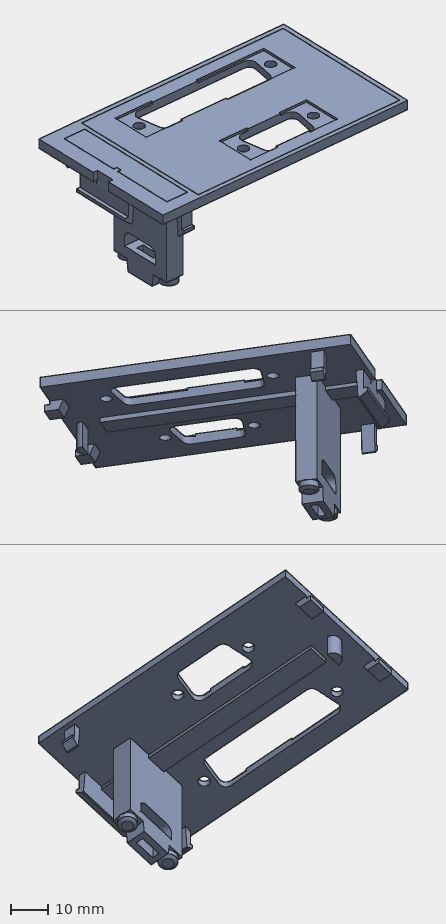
import math

import cadquery as cq


plate_width = 50.7
plate_length = 87.5
plate_thickness = 3.0

label_depth = 0.1
rim = 1.5
main_label_front = 14.0
main_label_rear = plate_length - rim
strip_label_width = 42.0
strip_label_front = 5.3
strip_label_rear = 12.6
label_tab_width = 1.65
label_tab_length = 1.2

connector_x = 13.5
pad_width = 12.7
pad_depth = 0.8
pad_beyond_screw = 3.05
screw_hole_diameter = 3.3
opening_width = 11.5
opening_slant = math.radians(10)
opening_corner_radius = 2.2
long_connector_y = 49.0
long_screw_spacing = 47.0
long_opening_length = 43.0
long_front_pad_length = 12.9
long_rear_pad_length = 24.0
short_connector_y = 51.7
short_screw_spacing = 25.0
short_opening_length = 21.1
short_pad_length = 9.7

snap_drop = 8.2
snap_root_thickness = 2.1
snap_tip_thickness = 1.5
snap_barb_top = 5.5
snap_barb_lip = 1.0
snap_nose = 0.5
front_snap_width = 19.8
front_snap_setback = 1.2
front_barb_reach = front_snap_setback
side_snap_length = 3.7
side_snap_setback = 1.35
side_barb_reach = 0.9
side_snap_y = 9.8

notch_width = 6.2
notch_depth = 1.5
notch_ramp_drop = 1.0

leg_width = 21.5
leg_thickness = 6.0
leg_front = 14.0
overall_height = 38.4
leg_drop = 31.4
tongue_drop = overall_height - plate_thickness
tongue_root_width = 10.8
tongue_tip_width = 9.9
window_width = 12.7
window_height = 5.0
window_sill_drop = 27.9
window_corner_radius = 2.3
sill_slot_width = 6.8
sill_slot_length = 2.2

foot_x = 8.4
foot_diameter = 5.4
foot_height = 1.75
foot_tip_diameter = 3.3
foot_tip_height = 0.65

hook_x = 14.1
hook_width = 5.2
hook_drop = 2.9
hook_reach = 1.5
hook_gap = 1.0
hook_root_inset = 3.95
hook_tip_inset = 2.5
post_radius = 2.35
post_inset = 4.85
post_drop = 7.6

rib_width = notch_width
rear_rib_end = plate_length - 10.0
rear_rib_drop = 1.4
front_rib_drop = 1.1

leg_y = leg_front + leg_thickness / 2


def block(x_size, y_from, y_to, z_from, z_to, x_centre=0.0):
    """Rectangular block centred on x_centre."""
    base = cq.Workplane("XY").box(x_size, y_to - y_from, z_to - z_from, centered=(True, False, False))
    return base.translate((x_centre, y_from, z_from))


def make_plate():
    plate = block(plate_width, 0, plate_length, 0, plate_thickness)
    floor = plate_thickness - label_depth
    main_label = block(plate_width - 2 * rim, main_label_front, main_label_rear, floor, plate_thickness)
    strip_label = block(strip_label_width, strip_label_front, strip_label_rear, floor, plate_thickness)
    tab_rear = strip_label_front + label_tab_length
    label_tab = block(label_tab_width, strip_label_front, tab_rear, floor, plate_thickness)
    return plate.cut(main_label).cut(strip_label.cut(label_tab))


def cut_connector(plate, x, y, screw_spacing, opening_length, front_pad_length, rear_pad_length):
    """Cut a D-shaped opening, wide toward -X, with its end pads and screw holes."""
    half_wide = opening_length / 2
    half_narrow = half_wide - opening_width * math.tan(opening_slant)
    half_width = opening_width / 2
    opening = (
        cq.Workplane("XY")
        .polyline([
            (-half_width, -half_wide),
            (half_width, -half_narrow),
            (half_width, half_narrow),
            (-half_width, half_wide),
        ])
        .close()
        .extrude(plate_thickness)
        .edges("|Z")
        .fillet(opening_corner_radius)
        .translate((x, y, 0))
    )
    pad_floor = plate_thickness - pad_depth
    front_end = y - screw_spacing / 2 - pad_beyond_screw
    rear_end = y + screw_spacing / 2 + pad_beyond_screw
    front_pad = block(pad_width, front_end, front_end + front_pad_length, pad_floor, plate_thickness, x)
    rear_pad = block(pad_width, rear_end - rear_pad_length, rear_end, pad_floor, plate_thickness, x)
    holes = (
        cq.Workplane("XY")
        .pushPoints([(x, y - screw_spacing / 2), (x, y + screw_spacing / 2)])
        .circle(screw_hole_diameter / 2)
        .extrude(plate_thickness)
    )
    return plate.cut(opening).cut(front_pad).cut(rear_pad).cut(holes)


def make_snap(width, barb_reach):
    """Snap arm hanging below Z = 0, with its outer face at Y = 0 and its barb toward -Y."""
    profile = [
        (0, 0),
        (0, -snap_barb_top),
        (-barb_reach, -snap_barb_top),
        (-barb_reach, -snap_barb_top - snap_barb_lip),
        (snap_tip_thickness - snap_nose, -snap_drop),
        (snap_tip_thickness, -snap_drop),
        (snap_root_thickness, 0),
    ]
    return cq.Workplane("YZ").polyline(profile).close().extrude(width / 2, both=True)


def make_side_snap(side):
    outer_face_x = plate_width / 2 - side_snap_setback
    turned = make_snap(side_snap_length, side_barb_reach).rotate((0, 0, 0), (0, 0, 1), side * 90)
    return turned.translate((side * outer_face_x, side_snap_y, 0))


def make_notch():
    """Front edge notch whose rear wall ramps forward to the snap's outer face below the plate."""
    profile = [
        (0, plate_thickness),
        (notch_depth, plate_thickness),
        (notch_depth, 0),
        (front_snap_setback, -notch_ramp_drop),
        (0, -notch_ramp_drop),
    ]
    return cq.Workplane("YZ").polyline(profile).close().extrude(notch_width / 2, both=True)


def make_leg():
    leg = block(leg_width, leg_front, leg_front + leg_thickness, -leg_drop, 0)
    tongue = (
        cq.Workplane("XZ")
        .polyline([
            (-tongue_root_width / 2, -leg_drop),
            (tongue_root_width / 2, -leg_drop),
            (tongue_tip_width / 2, -tongue_drop),
            (-tongue_tip_width / 2, -tongue_drop),
        ])
        .close()
        .extrude(-leg_thickness)
        .translate((0, leg_front, 0))
    )
    window_top = window_height - window_sill_drop
    window = (
        block(window_width, leg_front, leg_front + leg_thickness, -window_sill_drop, window_top)
        .edges("|Y and >Z")
        .fillet(window_corner_radius)
    )
    slot_front = leg_y - sill_slot_length / 2
    slot_rear = leg_y + sill_slot_length / 2
    sill_slot = block(sill_slot_width, slot_front, slot_rear, -tongue_drop, -window_sill_drop)
    return leg.union(tongue).cut(window).cut(sill_slot)


def make_foot(x):
    """Round foot with a conical tip, revolved about its vertical axis."""
    profile = [
        (0, 0),
        (foot_diameter / 2, 0),
        (foot_diameter / 2, -foot_height),
        (foot_tip_diameter / 2, -foot_height - foot_tip_height),
        (0, -foot_height - foot_tip_height),
    ]
    foot = cq.Workplane("XZ").polyline(profile).close().revolve(360, (0, 0, 0), (0, 1, 0))
    return foot.translate((x, leg_y, -leg_drop))


def make_hook(x):
    """Rear hook with a sloped front face, reaching past the plate's rear edge."""
    profile = [
        (plate_length - hook_root_inset, 0),
        (plate_length, 0),
        (plate_length, -hook_gap),
        (plate_length + hook_reach, -hook_gap),
        (plate_length + hook_reach, -hook_drop),
        (plate_length - hook_tip_inset, -hook_drop),
    ]
    hook = cq.Workplane("YZ").polyline(profile).close().extrude(hook_width / 2, both=True)
    return hook.translate((x, 0, 0))


def make_post():
    """Half-round post with its flat face toward the front."""
    flat_y = plate_length - post_inset
    return (
        cq.Workplane("XY")
        .moveTo(-post_radius, flat_y)
        .threePointArc((0, flat_y + post_radius), (post_radius, flat_y))
        .close()
        .extrude(-post_drop)
    )


def make_ribs():
    rear_rib = block(rib_width, leg_y, rear_rib_end, -rear_rib_drop, 0)
    front_rib = block(rib_width, front_snap_setback, leg_y, -front_rib_drop, 0)
    return rear_rib.union(front_rib)


plate = make_plate()
plate = cut_connector(
    plate, -connector_x, long_connector_y, long_screw_spacing,
    long_opening_length, long_front_pad_length, long_rear_pad_length,
)
plate = cut_connector(
    plate, connector_x, short_connector_y, short_screw_spacing,
    short_opening_length, short_pad_length, short_pad_length,
)

result = plate.union(make_leg()).union(make_ribs()).union(make_post())
front_snap = make_snap(front_snap_width, front_barb_reach).translate((0, front_snap_setback, 0))
result = result.union(front_snap)
for side in (-1, 1):
    result = result.union(make_side_snap(side))
    result = result.union(make_foot(side * foot_x))
    result = result.union(make_hook(side * hook_x))
result = result.cut(make_notch())